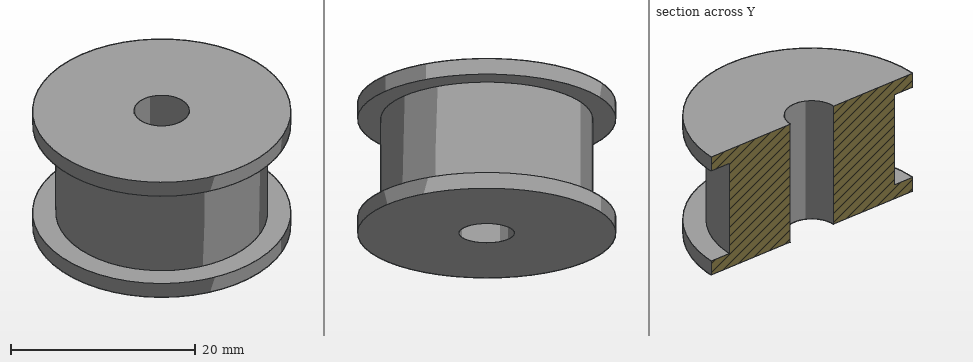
import cadquery as cq

flange_diameter = 28.0
hub_diameter = 23.0
bore_diameter = 6.0
total_height = 15.0
flange_thickness = 1.82


def flange(base_height):
    """Flange disc whose lower face sits at base_height."""
    return (
        cq.Workplane("XY")
        .workplane(offset=base_height)
        .circle(flange_diameter / 2)
        .extrude(flange_thickness)
    )


spool = cq.Workplane("XY").circle(hub_diameter / 2).extrude(total_height)
for base_height in (0, total_height - flange_thickness):
    spool = spool.union(flange(base_height))

bore = cq.Workplane("XY").circle(bore_diameter / 2).extrude(total_height)
result = spool.cut(bore)